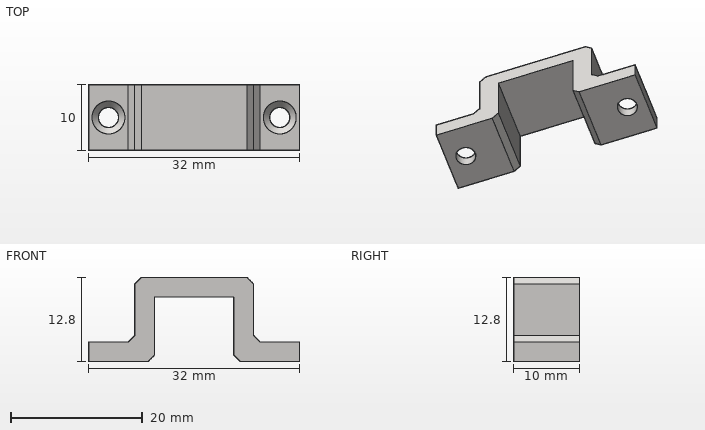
import cadquery as cq

length = 32.0
width = 10.0
height = 12.8

thickness = 3.0
channel_width = 12.0
bevel = 1.0

hole_diameter = 3.0
sink_diameter = 5.0
sink_angle = 90.0
hole_end_distance = 3.0

half_length = length / 2
half_channel = channel_width / 2
half_bridge = half_channel + thickness


def make_strap():
    """Extrude the symmetric strap profile, centred on the origin in X and Y."""
    right_side = [
        (half_bridge - bevel, height),
        (half_bridge, height - bevel),
        (half_bridge, thickness + bevel),
        (half_bridge + bevel, thickness),
        (half_length, thickness),
        (half_length, 0),
        (half_channel + bevel, 0),
        (half_channel, bevel),
        (half_channel, height - thickness),
    ]
    left_side = [(-x, z) for x, z in reversed(right_side)]
    profile = cq.Workplane("XZ").polyline(right_side + left_side).close()
    return profile.extrude(width / 2, both=True)


def cut_screw_holes(strap):
    """Countersink a through hole from the top of each flange."""
    hole_x = half_length - hole_end_distance
    return (
        strap.copyWorkplane(cq.Workplane("XY", origin=(0, 0, thickness)))
        .pushPoints([(-hole_x, 0), (hole_x, 0)])
        .cskHole(hole_diameter, sink_diameter, sink_angle, depth=thickness)
    )


result = cut_screw_holes(make_strap())